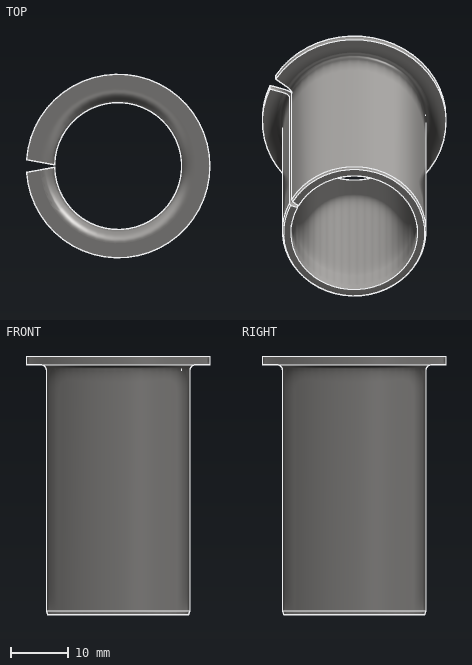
import cadquery as cq

height = 45.0
flange_diameter = 32.0
body_radius = 12.5
wall = 1.5
under_flange_radius = 1.0
chamfer_height = 0.68
chamfer_depth = 0.22

split_outer_width = 2.15
split_inner_width = 0.35

flange_radius = flange_diameter / 2
bore_radius = body_radius - wall
mouth_radius = under_flange_radius + wall
flange_underside = height - wall


def flanged_sleeve():
    """Revolve the wall profile, whose two bend arcs share one center."""
    return (
        cq.Workplane("XZ")
        .moveTo(bore_radius, 0)
        .lineTo(body_radius - chamfer_depth, 0)
        .lineTo(body_radius, chamfer_height)
        .lineTo(body_radius, flange_underside - under_flange_radius)
        .radiusArc((body_radius + under_flange_radius, flange_underside), under_flange_radius)
        .lineTo(flange_radius, flange_underside)
        .lineTo(flange_radius, height)
        .lineTo(bore_radius + mouth_radius, height)
        .radiusArc((bore_radius, height - mouth_radius), -mouth_radius)
        .close()
        .revolve(360, (0, 0, 0), (0, 1, 0))
        .rotate((0, 0, 0), (0, 0, 1), 180)
    )


def split_cutter():
    """Full-height wedge that narrows from the flange rim to the bore."""
    overshoot = 0.45
    rim_x = (flange_radius**2 - (split_outer_width / 2) ** 2) ** 0.5
    bore_x = (bore_radius**2 - (split_inner_width / 2) ** 2) ** 0.5
    side_slope = (split_outer_width - split_inner_width) / 2 / (rim_x - bore_x)
    outer_half = split_outer_width / 2 + side_slope * overshoot
    inner_half = split_inner_width / 2 - side_slope * overshoot
    return (
        cq.Workplane("XY")
        .polyline([
            (-rim_x - overshoot, -outer_half),
            (-bore_x + overshoot, -inner_half),
            (-bore_x + overshoot, inner_half),
            (-rim_x - overshoot, outer_half),
        ])
        .close()
        .extrude(height)
    )


result = flanged_sleeve().cut(split_cutter())